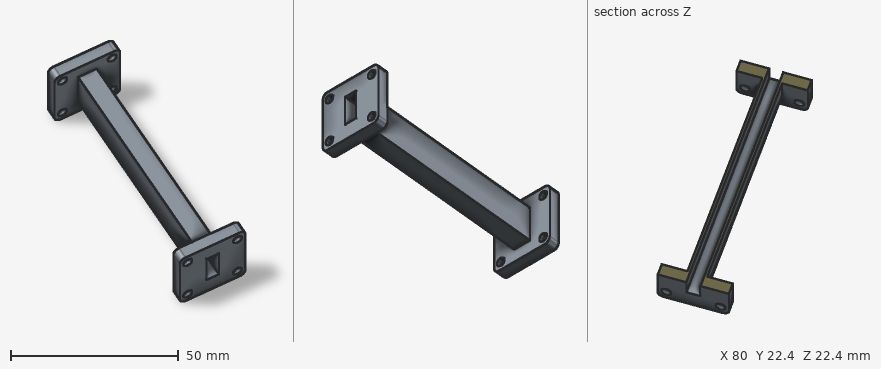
import cadquery as cq

total_length = 80.0
flange_side = 22.4
flange_thickness = 4.0
flange_corner_radius = 2.0

channel_width = 4.318
channel_height = 10.668
wall_thickness = 1.016
tube_width = channel_width + 2 * wall_thickness
tube_height = channel_height + 2 * wall_thickness

bolt_hole_diameter = 3.0
bolt_spacing_y = 17.02
bolt_spacing_z = 16.26


def make_flange(start_x):
    """Square flange with rounded corners and bolt holes, from start_x towards +X."""
    return (
        cq.Workplane("YZ", origin=(start_x, 0, 0))
        .rect(flange_side, flange_side)
        .extrude(flange_thickness)
        .edges("|X")
        .fillet(flange_corner_radius)
        .faces(">X")
        .workplane(centerOption="CenterOfBoundBox")
        .rect(bolt_spacing_y, bolt_spacing_z, forConstruction=True)
        .vertices()
        .hole(bolt_hole_diameter)
    )


def make_bar(width, height, length):
    """Rectangular bar along X, centred on the origin."""
    return cq.Workplane("XY").box(length, width, height)


tube_length = total_length - 2 * flange_thickness
tube = make_bar(tube_width, tube_height, tube_length)
channel = make_bar(channel_width, channel_height, total_length)

near_flange = make_flange(-total_length / 2)
far_flange = make_flange(total_length / 2 - flange_thickness)

result = tube.union(near_flange).union(far_flange).cut(channel)